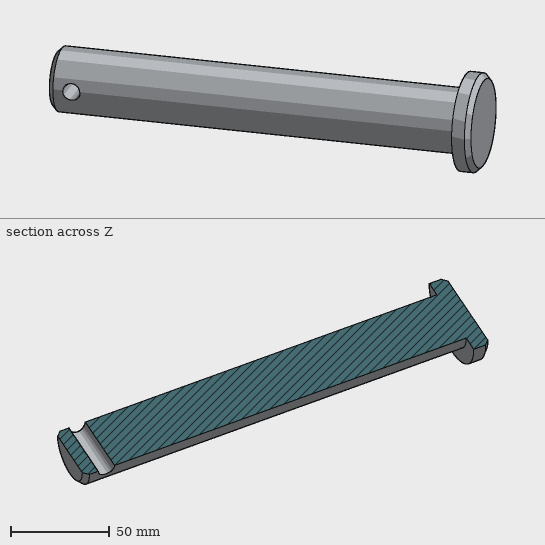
import cadquery as cq

total_length = 226.5
head_diameter = 51.5
head_thickness = 9.5
head_chamfer = 2.7
shank_diameter = 34.0
tip_chamfer = 2.7
hole_diameter = 9.0
hole_from_tip = 12.5

shank_length = total_length - head_thickness

shank = (
    cq.Workplane("YZ")
    .circle(shank_diameter / 2)
    .extrude(shank_length)
    .faces("<X")
    .chamfer(tip_chamfer)
)

head = (
    cq.Workplane("YZ")
    .workplane(offset=shank_length)
    .circle(head_diameter / 2)
    .extrude(head_thickness)
    .faces(">X")
    .chamfer(head_chamfer)
)

cotter_hole = (
    cq.Workplane("XZ")
    .center(hole_from_tip, 0)
    .circle(hole_diameter / 2)
    .extrude(shank_diameter, both=True)
)

result = shank.union(head).cut(cotter_hole)